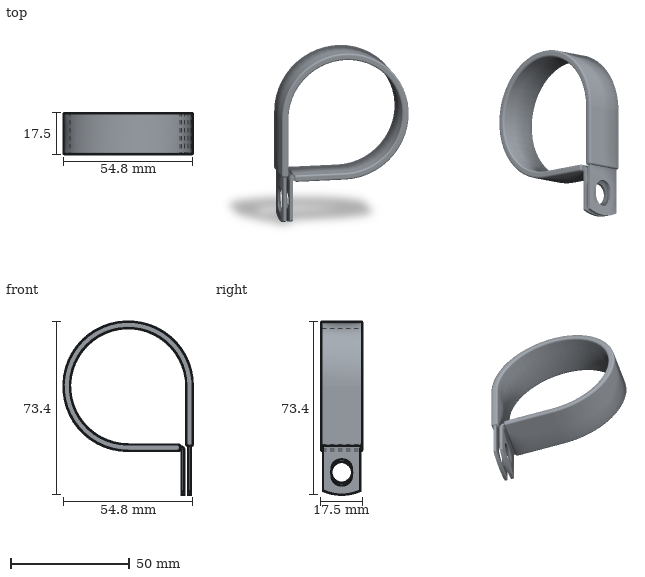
import cadquery as cq
import math


outer_radius = 54.81 / 2
strap_thickness = 1.27
strap_width = 15.88
cushion_width = 17.46
cushion_bottom_end_x = 21.9
cushion_side_end_z = -25.2
bend_inner_radius = 0.64
tab_tip_z = -45.95
tab_tip_radius = 19.05
hole_diameter = 8.73
slot_length = 11.11
hole_to_tip = 9.52

half_strap_width = strap_width / 2
edge_radius = (cushion_width - strap_width) / 2
cushion_thickness = strap_thickness + 2 * edge_radius
inner_radius = outer_radius - cushion_thickness
strap_mid_radius = outer_radius - cushion_thickness / 2
strap_inner_radius = strap_mid_radius - strap_thickness / 2
bend_outer_radius = bend_inner_radius + strap_thickness
bend_center_z = -strap_inner_radius - bend_outer_radius
bent_tab_inner_x = cushion_bottom_end_x + bend_inner_radius
tip_sagitta = tab_tip_radius - math.sqrt(tab_tip_radius**2 - half_strap_width**2)
tab_corner_z = tab_tip_z + tip_sagitta
hole_z = tab_tip_z + hole_to_tip

diagonal = math.sqrt(0.5)


def make_loop_band():
    """Square-edged cushion: three-quarter ring with straight runs at both ends."""
    outer_mid = outer_radius * diagonal
    inner_mid = inner_radius * diagonal
    return (
        cq.Workplane("XZ")
        .moveTo(cushion_bottom_end_x, -outer_radius)
        .lineTo(0, -outer_radius)
        .threePointArc((-outer_mid, outer_mid), (outer_radius, 0))
        .lineTo(outer_radius, cushion_side_end_z)
        .lineTo(inner_radius, cushion_side_end_z)
        .lineTo(inner_radius, 0)
        .threePointArc((-inner_mid, inner_mid), (0, -inner_radius))
        .lineTo(cushion_bottom_end_x, -inner_radius)
        .close()
        .extrude(cushion_width / 2, both=True)
    )


def make_cushion():
    """Cushion with every edge rounded; its flat end faces match the strap section."""
    band = make_loop_band()
    bottom_end = cq.NearestToPointSelector((cushion_bottom_end_x, 0, -strap_mid_radius))
    side_end = cq.NearestToPointSelector((strap_mid_radius, 0, cushion_side_end_z))
    flat_faces = band.faces("<Y or >Y").add(band.faces(bottom_end)).add(band.faces(side_end))
    return band.newObject(flat_faces.edges().vals()).fillet(edge_radius)


def make_bend():
    """Quarter bend turning the bottom run of the strap down into its tab."""
    outer_mid = bend_outer_radius * diagonal
    inner_mid = bend_inner_radius * diagonal
    return (
        cq.Workplane("XZ", origin=(cushion_bottom_end_x, 0, bend_center_z))
        .moveTo(0, bend_outer_radius)
        .threePointArc((outer_mid, outer_mid), (bend_outer_radius, 0))
        .lineTo(bend_inner_radius, 0)
        .threePointArc((inner_mid, inner_mid), (0, bend_inner_radius))
        .close()
        .extrude(half_strap_width, both=True)
    )


def make_tab_blank(inner_x, top_z):
    """Flat mounting tab with a curved tip, reaching up to top_z."""
    return (
        cq.Workplane("YZ", origin=(inner_x, 0, 0))
        .moveTo(-half_strap_width, top_z)
        .lineTo(-half_strap_width, tab_corner_z)
        .threePointArc((0, tab_tip_z), (half_strap_width, tab_corner_z))
        .lineTo(half_strap_width, top_z)
        .close()
        .extrude(strap_thickness)
    )


def make_bent_tab():
    """Tab below the bend, with a round bolt hole."""
    hole = (
        cq.Workplane("YZ", origin=(bent_tab_inner_x, 0, hole_z))
        .circle(hole_diameter / 2)
        .extrude(strap_thickness)
    )
    return make_tab_blank(bent_tab_inner_x, bend_center_z).cut(hole)


def make_side_tab():
    """Tab below the straight side run, with an upright bolt slot."""
    slot = (
        cq.Workplane("YZ", origin=(strap_inner_radius, 0, hole_z))
        .slot2D(slot_length, hole_diameter, angle=90)
        .extrude(strap_thickness)
    )
    return make_tab_blank(strap_inner_radius, cushion_side_end_z).cut(slot)


result = make_cushion().union(make_bend()).union(make_bent_tab()).union(make_side_tab())